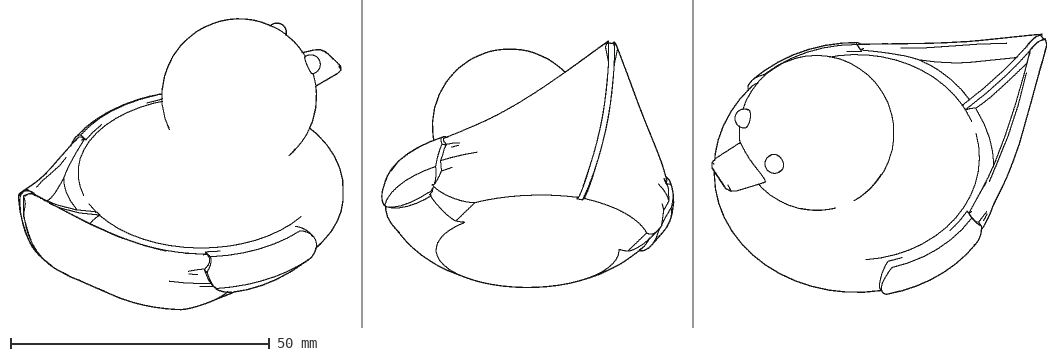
import cadquery as cq
import math


BASE_RADIUS = 17.7
BODY_RADIUS = 27.5
BILGE_MID = (23.9, 4.45)
WAIST_BOTTOM = 9.1
WAIST_TOP = 11.3
SHOULDER_MID = (26.2, 13.7)
SHOULDER_RADIUS = 23.8
SHOULDER_HEIGHT = 14.9
DOME_HEIGHT = 23.3

OVERALL_HEIGHT = 44.89
HEAD_RADIUS = 15.0
HEAD_Y = 8.8
HEAD_Z = OVERALL_HEIGHT - HEAD_RADIUS
NECK_FILLET = 1.2
EYE_RADIUS = 1.85
EYE_X = 6.0
EYE_Y = 21.4
EYE_Z = 36.25

BEAK_TIP_Y = 30.4
BEAK_ROOT = (19.0, 5.6, 2.8)
BEAK_BREAK = (28.7, 4.25, 1.05)
BEAK_ROUNDING = (29.8, 3.8, 0.65)
BEAK_TIP = (BEAK_TIP_Y, 2.8, 0.2)

OVERALL_LENGTH = 71.78
TAIL_LENGTH = OVERALL_LENGTH - BEAK_TIP_Y
KEEL_ARC_RADIUS = 27.8
KEEL_ARC_Z = 25.0
KEEL_HALF_WIDTH = 0.6
HULL_SECTIONS = [
    (0.0, 17.5, -17.0, -0.5, 2.4),
    (4.8, 23.7, -10.0, -2.0, 2.7),
    (9.1, 25.2, -9.5, -3.0, 2.8),
    (14.5, 23.5, -13.7, -8.0, 1.8),
    (21.0, 23.5, -13.7, -8.0, 1.4),
    (31.0, 23.5, -13.7, -8.0, 0.8),
]
RIM_CURVE = [(-7.0, 14.3), (-14.0, 14.6), (-21.8, 16.1), (-31.1, 20.9), (-37.5, 25.3), (-45.0, 31.2)]
RIB_ROOT = (-22.0, 14.2)
RIB_MID = (-31.1, 19.2)
RIB_CREST = (-39.3, 26.7)
RIB_TIP_MID = (-40.6, 27.0)
RIB_TIP = (-TAIL_LENGTH, 25.9)
HULL_OVERRUN = 0.12
WALL = 2.5
FIRST_HOLLOW_SECTION = 2
RIM_OUTER_FILLET = 1.5
RIM_INNER_FILLET = 0.8
RIM_EDGE_MIN_SPAN = 7.0
HOLLOW_FLOOR = 13.3
HOLLOW_FLOOR_START_Y = -22.0
HOLLOW_FLOOR_MID = (-33.5, 18.3)
HOLLOW_FLOOR_END = (-43.0, 27.5)

OVERALL_WIDTH = 56.56
WING_RADIUS = OVERALL_WIDTH / 2
WING_INNER_RADIUS = 22.5
WING_TOP = 14.65
WING_BOTTOM = 4.7
WING_TOP_EDGE = (26.3, WING_TOP)
WING_SHOULDER_MID = (27.3, 13.85)
WING_SIDE_TOP = (27.85, 12.7)
WING_SIDE_MID = (WING_RADIUS, 10.4)
WING_SIDE_BOTTOM = (27.85, 8.0)
WING_LOWER_EDGE = (25.0, 4.2)
WING_TOP_FRONT = (6.2, WING_TOP)
WING_FRONT_MID = (9.2, 11.2)
WING_FRONT_FOOT = (7.4, 7.5)
WING_BELLY = (0.5, 5.2)
WING_BELLY_END = (-8.5, WING_BOTTOM)
WING_REAR_MID = (-13.0, 8.4)
WING_REAR_HEEL = (-14.3, 12.2)
WING_TOP_REAR = (-12.8, WING_TOP)

FAR = 60.0


def body_of_revolution():
    """Round body: bulging bilge, upright waist, rounded shoulder and shallow dome."""
    return (
        cq.Workplane("XZ")
        .lineTo(BASE_RADIUS, 0)
        .threePointArc(BILGE_MID, (BODY_RADIUS, WAIST_BOTTOM))
        .lineTo(BODY_RADIUS, WAIST_TOP)
        .threePointArc(SHOULDER_MID, (SHOULDER_RADIUS, SHOULDER_HEIGHT))
        .threePointArc(dome_point(SHOULDER_RADIUS / 2), (0, DOME_HEIGHT))
        .close()
        .revolve(360, (0, 0, 0), (0, 1, 0))
    )


def dome_point(radius):
    """Point on the spherical top of the body at a distance from the axis."""
    rise = DOME_HEIGHT - SHOULDER_HEIGHT
    sphere_radius = (SHOULDER_RADIUS**2 + rise**2) / (2 * rise)
    drop = sphere_radius - math.sqrt(sphere_radius**2 - radius**2)
    return (radius, DOME_HEIGHT - drop)


def ball(radius, x, y, z):
    return cq.Workplane("XY").sphere(radius).translate((x, y, z))


def body_with_head():
    """Body and head joined with a fillet at the neck."""
    joined = body_of_revolution().union(ball(HEAD_RADIUS, 0, HEAD_Y, HEAD_Z))
    around_neck = cq.selectors.BoxSelector(
        (-HEAD_RADIUS, HEAD_Y - HEAD_RADIUS, SHOULDER_HEIGHT + NECK_FILLET),
        (HEAD_RADIUS, HEAD_Y + HEAD_RADIUS, DOME_HEIGHT + NECK_FILLET),
    )
    return joined.edges("%CIRCLE").edges(around_neck).fillet(NECK_FILLET)


def beak():
    """Flat tapering beak with a rounded end."""
    def section(y, half_width, half_height):
        plane = cq.Plane(origin=(0, y, HEAD_Z), xDir=(1, 0, 0), normal=(0, 1, 0))
        return cq.Workplane(plane).ellipse(half_width, half_height).val()

    sections = [BEAK_ROOT, BEAK_BREAK, BEAK_ROUNDING, BEAK_TIP]
    wires = [section(*s) for s in sections]
    return cq.Workplane(cq.Solid.makeLoft(wires, True))


def keel_y(z):
    """Stern line: an arc that rises from the base and stands upright at the tip."""
    reach = math.sqrt(KEEL_ARC_RADIUS**2 - (z - KEEL_ARC_Z) ** 2)
    return KEEL_ARC_RADIUS - TAIL_LENGTH - reach


def hull_section(z, side_x, side_y, front_y, bow, inset):
    """Horizontal outline of the +X half of the hull, run on past the middle plane."""
    keel = (KEEL_HALF_WIDTH, keel_y(z))
    run = (side_x - keel[0], side_y - keel[1])
    length = math.hypot(*run)
    outward = (run[1] / length, -run[0] / length)

    def point_on_side(along):
        offset = 4 * bow * along * (1 - along) - inset
        return tuple(keel[i] + along * run[i] + offset * outward[i] for i in (0, 1))

    side = point_on_side(1)
    prow = point_on_side(-HULL_OVERRUN)
    return (
        cq.Workplane("XY", origin=(0, 0, z))
        .moveTo(*side)
        .threePointArc(point_on_side(0.5), prow)
        .lineTo(prow[0], front_y)
        .lineTo(side[0], front_y)
        .close()
        .val()
    )


def half_hull(sections, inset):
    """Loft of the +X half of the hull, shrunk inward by the inset."""
    return cq.Workplane(cq.Solid.makeLoft([hull_section(*s, inset) for s in sections]))


def side_plane():
    """Sketch plane (Y, Z) on the far -X side, for cuts that run right across the part."""
    return cq.Workplane("YZ", origin=(-FAR, 0, 0))


def under_rim():
    """Everything below the swept-up rim of the tail."""
    return (
        side_plane()
        .moveTo(*RIM_CURVE[0])
        .spline(RIM_CURVE[1:], includeCurrent=True)
        .lineTo(RIM_CURVE[-1][0], 0)
        .lineTo(RIM_CURVE[0][0], 0)
        .close()
        .extrude(2 * FAR)
    )


def over_hollow_floor():
    """Everything above the floor of the hollows in the tail."""
    return (
        side_plane()
        .moveTo(0, HOLLOW_FLOOR)
        .lineTo(HOLLOW_FLOOR_START_Y, HOLLOW_FLOOR)
        .spline([HOLLOW_FLOOR_MID, HOLLOW_FLOOR_END], tangents=[(-1, 0), (-0.6, 1)], includeCurrent=True)
        .lineTo(HOLLOW_FLOOR_END[0], FAR)
        .lineTo(0, FAR)
        .close()
        .extrude(2 * FAR)
    )


def round_rim(half, radius):
    """Round the innermost long edge along the top of a tail half."""
    def is_rim_edge(edge):
        box = edge.BoundingBox()
        return box.zmin > RIM_CURVE[0][1] and min(box.xlen, box.ylen) > RIM_EDGE_MIN_SPAN

    rim_edges = filter(is_rim_edge, half.edges().vals())
    innermost = min(rim_edges, key=lambda edge: edge.Center().x)
    return half.newObject([innermost]).fillet(radius)


def tail_half():
    """Hollowed +X half of the tail, cut off where it meets the centre rib."""
    outside = round_rim(half_hull(HULL_SECTIONS, 0).intersect(under_rim()), RIM_OUTER_FILLET)
    hollow = half_hull(HULL_SECTIONS[FIRST_HOLLOW_SECTION:], WALL).intersect(over_hollow_floor())
    beside_rib = (
        cq.Workplane("XY")
        .box(FAR, TAIL_LENGTH, FAR, centered=(False, False, False))
        .translate((KEEL_HALF_WIDTH, -TAIL_LENGTH, 0))
    )
    return round_rim(outside.cut(hollow), RIM_INNER_FILLET).intersect(beside_rib)


def centre_rib():
    """Upright plate on the middle plane, from the body to the tip of the tail."""
    keel_mid_z = RIB_TIP[1] / 2
    return (
        cq.Workplane("YZ")
        .moveTo(*RIB_ROOT)
        .spline([RIB_MID, RIB_CREST], includeCurrent=True)
        .threePointArc(RIB_TIP_MID, RIB_TIP)
        .threePointArc((keel_y(keel_mid_z), keel_mid_z), (keel_y(0), 0))
        .lineTo(0, 0)
        .lineTo(0, RIB_ROOT[1])
        .close()
        .extrude(KEEL_HALF_WIDTH, both=True)
    )


def tail():
    half = tail_half()
    return centre_rib().union(half).union(half.mirror("YZ"))


def wing_outline():
    """Side outline of both wings, run right across the part."""
    return (
        side_plane()
        .moveTo(*WING_TOP_REAR)
        .lineTo(*WING_TOP_FRONT)
        .threePointArc(WING_FRONT_MID, WING_FRONT_FOOT)
        .spline([WING_BELLY, WING_BELLY_END], includeCurrent=True)
        .threePointArc(WING_REAR_MID, WING_REAR_HEEL)
        .close()
        .extrude(2 * FAR)
    )


def wing_pads():
    """Ring that follows the body at a small offset, kept only inside the wing outline."""
    ring = (
        cq.Workplane("XZ")
        .moveTo(WING_INNER_RADIUS, WING_LOWER_EDGE[1])
        .lineTo(*WING_LOWER_EDGE)
        .lineTo(*WING_SIDE_BOTTOM)
        .threePointArc(WING_SIDE_MID, WING_SIDE_TOP)
        .threePointArc(WING_SHOULDER_MID, WING_TOP_EDGE)
        .lineTo(WING_INNER_RADIUS, WING_TOP)
        .close()
        .revolve(360, (0, 0, 0), (0, 1, 0))
    )
    return ring.intersect(wing_outline())


def eyes():
    left_eye = ball(EYE_RADIUS, -EYE_X, EYE_Y, EYE_Z)
    return left_eye.union(left_eye.mirror("YZ"))


result = body_with_head().union(tail()).union(wing_pads()).union(beak()).union(eyes())